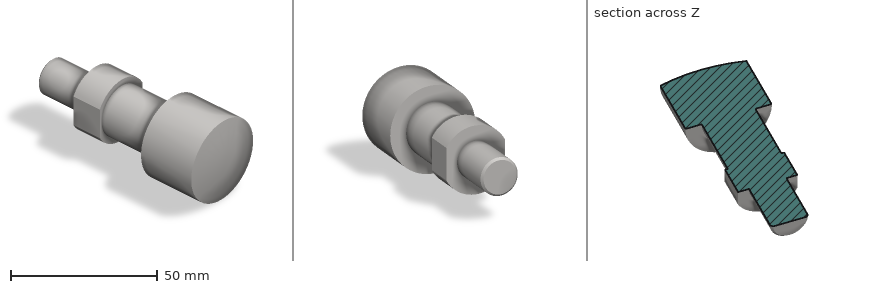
import cadquery as cq

overall_length = 80.0

tip_diameter = 14.0
tip_length = 20.0
tip_chamfer = 0.8

collar_diameter = 25.0
collar_length = 12.0
collar_across_flats = 22.0

shank_diameter = 20.0
shank_length = 23.2

head_diameter = 32.0
dome_height = 1.9

collar_start = tip_length
shank_start = collar_start + collar_length
head_start = shank_start + shank_length
dome_start = overall_length - dome_height


def cylinder(start, length, diameter):
    """Solid cylinder on the X axis, beginning at X = start."""
    return cq.Workplane("YZ", origin=(start, 0, 0)).circle(diameter / 2).extrude(length)


def make_tip():
    """Front pin with a chamfered free end."""
    return cylinder(0, tip_length, tip_diameter).faces("<X").chamfer(tip_chamfer)


def make_collar():
    """Round collar with two parallel flats facing -Y and +Y."""
    flats = cq.Workplane("YZ", origin=(collar_start, 0, 0)).rect(
        collar_across_flats, collar_diameter
    ).extrude(collar_length)
    return cylinder(collar_start, collar_length, collar_diameter).intersect(flats)


def make_head():
    """Cylindrical head closed by a shallow spherical dome."""
    head_radius = head_diameter / 2
    dome_radius = (head_radius**2 + dome_height**2) / (2 * dome_height)
    dome_center = overall_length - dome_radius
    middle_radius = head_radius / 2
    middle_x = dome_center + (dome_radius**2 - middle_radius**2) ** 0.5
    return (
        cq.Workplane("XY")
        .moveTo(head_start, 0)
        .lineTo(head_start, head_radius)
        .lineTo(dome_start, head_radius)
        .threePointArc((middle_x, middle_radius), (overall_length, 0))
        .close()
        .revolve(360, (0, 0, 0), (1, 0, 0))
    )


shank = cylinder(shank_start, shank_length, shank_diameter)
result = make_tip().union(make_collar()).union(shank).union(make_head())